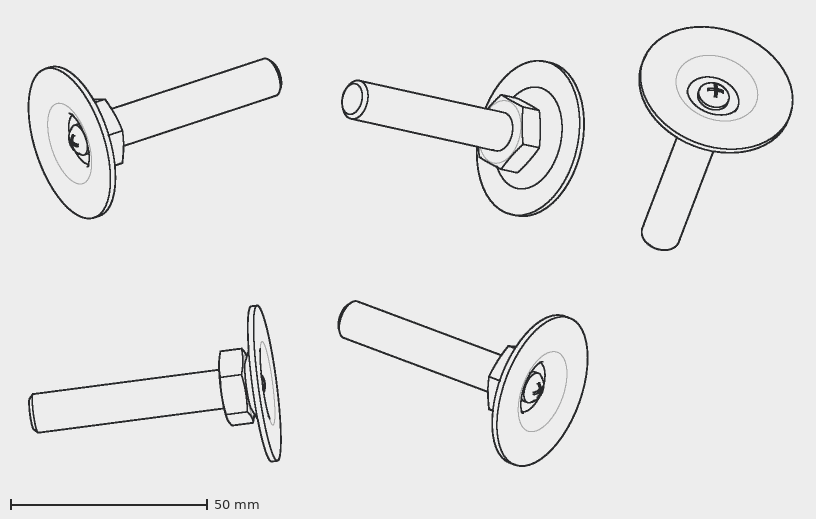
import cadquery as cq
import math

total_length = 61.0
disc_thickness = 1.5
nut_start = 4.7
nut_end = 11.1

disc_radius = 40.0 / 2
hub_base_radius = 13.2
hub_top_radius = 6.35

recess_floor_radius = 6.8
recess_depth = 3.95
recess_mouth_radius = recess_floor_radius + recess_depth

head_radius = 8.0 / 2
head_rim_height = 1.05
head_tip = 0.6
head_rim = recess_depth - head_rim_height

slot_length = head_radius
slot_width = 0.6
slot_depth = 1.0

rod_radius = 10.0 / 2
rod_chamfer = 1.05
nut_across_flats = 17.0
nut_across_corners = nut_across_flats / math.cos(math.pi / 6)
nut_face_radius = 8.1
nut_chamfer_angle = math.radians(15)


def revolve_about_axis(profile):
    """Turn a closed (radius, Y) profile around the Y axis."""
    return profile.close().revolve(360, (0, 0, 0), (0, 1, 0))


def make_foot():
    """Disc and cone, with the round-mouthed recess left open below."""
    diagonal = recess_depth * math.sqrt(0.5)
    arc_middle = (recess_mouth_radius - diagonal, recess_depth - diagonal)
    profile = (
        cq.Workplane("XY")
        .moveTo(disc_radius, 0)
        .lineTo(disc_radius, disc_thickness)
        .lineTo(hub_base_radius, disc_thickness)
        .lineTo(hub_top_radius, nut_start)
        .lineTo(0, nut_start)
        .lineTo(0, recess_depth)
        .lineTo(recess_floor_radius, recess_depth)
        .threePointArc(arc_middle, (recess_mouth_radius, 0))
    )
    return revolve_about_axis(profile)


def make_head():
    """Short cylindrical rim and spherical dome, cut by a cross slot."""
    dome_height = head_rim - head_tip
    sphere_radius = (head_radius**2 + dome_height**2) / (2 * dome_height)
    half_angle = math.asin(head_radius / sphere_radius) / 2
    arc_middle = (
        sphere_radius * math.sin(half_angle),
        head_tip + sphere_radius * (1 - math.cos(half_angle)),
    )
    profile = (
        cq.Workplane("XY")
        .moveTo(0, recess_depth)
        .lineTo(head_radius, recess_depth)
        .lineTo(head_radius, head_rim)
        .threePointArc(arc_middle, (0, head_tip))
    )
    head = revolve_about_axis(profile)
    for size_x, size_z in ((slot_length, slot_width), (slot_width, slot_length)):
        slot = cq.Workplane("XY").box(size_x, 2 * slot_depth, size_z)
        head = head.cut(slot.translate((0, head_tip, 0)))
    return head


def make_nut():
    """Hexagon with corners along Z, its corners chamfered at both ends."""
    nut_height = nut_end - nut_start
    hexagon = (
        cq.Workplane("XZ", origin=(0, nut_end, 0))
        .transformed(rotate=(0, 0, 90))
        .polygon(6, nut_across_corners)
        .extrude(nut_height)
    )
    corner_radius = nut_across_corners / 2
    chamfer_height = (corner_radius - nut_face_radius) * math.tan(nut_chamfer_angle)
    profile = (
        cq.Workplane("XY")
        .moveTo(0, nut_start)
        .lineTo(nut_face_radius, nut_start)
        .lineTo(corner_radius, nut_start + chamfer_height)
        .lineTo(corner_radius, nut_end - chamfer_height)
        .lineTo(nut_face_radius, nut_end)
        .lineTo(0, nut_end)
    )
    return hexagon.intersect(revolve_about_axis(profile))


def make_rod():
    """Plain rod above the nut with a chamfered free end."""
    rod = (
        cq.Workplane("XZ", origin=(0, total_length, 0))
        .circle(rod_radius)
        .extrude(total_length - nut_start)
    )
    return rod.faces(">Y").chamfer(rod_chamfer)


result = make_foot().union(make_head()).union(make_nut()).union(make_rod())